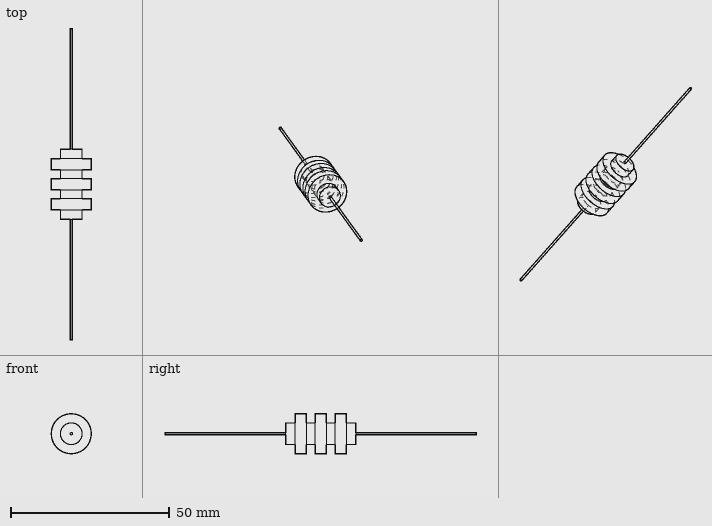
import cadquery as cq

core_length = 22.225
core_diameter = 6.858
lead_length = 38.1
lead_diameter = 0.73
flange_diameter = 12.7
flange_width = 3.556
flange_pitch = 6.35
flange_count = 3

overall_length = core_length + 2 * lead_length


def cylinder_along_y(diameter, length, center_y=0):
    """Solid cylinder on the Y axis whose middle lies at center_y."""
    start_plane = cq.Plane(
        origin=(0, center_y - length / 2, 0),
        xDir=(-1, 0, 0),
        normal=(0, 1, 0),
    )
    return cq.Workplane(start_plane).circle(diameter / 2).extrude(length)


def add_flanges(body):
    """Row of equal discs, evenly spaced about the middle of the core."""
    first_center = -flange_pitch * (flange_count - 1) / 2
    for index in range(flange_count):
        center_y = first_center + index * flange_pitch
        body = body.union(cylinder_along_y(flange_diameter, flange_width, center_y))
    return body


core = add_flanges(cylinder_along_y(core_diameter, core_length))

leads = cylinder_along_y(lead_diameter, overall_length)

result = core.union(leads)